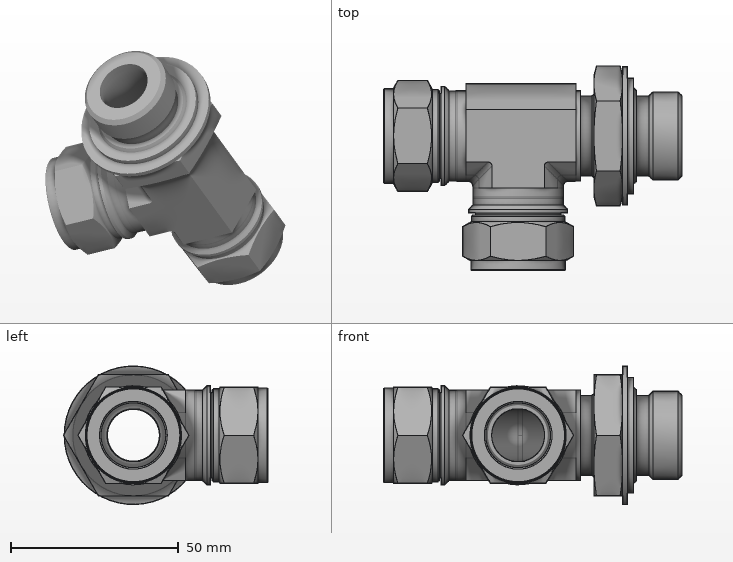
import cadquery as cq
import math

COS30 = math.cos(math.radians(30))
TAN15 = math.tan(math.radians(15))
TAN30 = math.tan(math.radians(30))

body_flats = 27.0
body_radius = body_flats / 2
hex_reach = 15.55
hex_reach_stud = 17.2
crotch_radius = 1.3

arm_length = 40.1
collar_length = 3.0
collar_dia = 28.2
rim_chamfer = 0.3
nut_flats = 28.6
nut_length = 11.55
skirt_dia = 27.8
skirt_length = 2.0
skirt_chamfer = 0.4
gap_dia = 25.4
gap_length = 0.5
ring_dia = 29.5
ring_length = 1.1
ring_taper = 1.3
land_dia = 26.9
land_length = 1.95
land_taper = 0.4

nut_end = arm_length - collar_length
nut_start = nut_end - nut_length
skirt_start = nut_start - skirt_length
ring_end = skirt_start - gap_length
ring_start = ring_end - ring_length
taper_start = ring_start - ring_taper
land_start = taper_start - land_length
body_end = land_start - land_taper

stud_end = 48.8
stud_body_end = 18.6
neck_dia = 23.8
shoulder_start = 21.95
shoulder_dia = 24.9
locknut_start = 22.6
locknut_flats = 36.1
washer_start = 31.1
washer_dia = 41.2
washer_end = 32.5
retainer_dia = 34.5
retainer_end = 34.4
seal_dia = 28.6
seal_tip_dia = 26.9
seal_end = 35.3
thread_dia = 26.2
thread_start = 40.1
thread_chamfer = (thread_dia - neck_dia) / 2

tube_bore = 15.7
stud_bore = 15.5
bore_step_end = 1.2
socket_dia = 19.3
socket_depth = 16.0
mouth_chamfer = 0.4


def turned(points):
    """Solid of revolution about X from (position, radius) points."""
    outline = [(points[0][0], 0)] + points + [(points[-1][0], 0)]
    return cq.Workplane("XY").polyline(outline).close().revolve(360, (0, 0, 0), (1, 0, 0))


def hex_nut(start, end, flats, start_dia, slope):
    """Hex along X with corners on Y, turned down to start_dia at one end and to its flats at the other."""
    corner = flats / 2 / COS30
    start_chamfer = (corner - start_dia / 2) * slope
    end_chamfer = (corner - flats / 2) * slope
    prism = cq.Workplane("YZ").workplane(offset=start).polygon(6, 2 * corner).extrude(end - start)
    envelope = turned([
        (start, start_dia / 2),
        (start + start_chamfer, corner),
        (end - end_chamfer, corner),
        (end, flats / 2),
    ])
    return prism.intersect(envelope)


def body_prism(start, end, rounded_back):
    """Hex along X whose -Y corner, and on request its +Y corner, is rounded to the inscribed circle."""
    half_flat = body_radius * TAN30
    tangent_y = body_radius * COS30
    tangent_z = body_radius / 2
    outline = (
        cq.Workplane("YZ").workplane(offset=start)
        .moveTo(half_flat, body_radius)
        .lineTo(-half_flat, body_radius)
        .lineTo(-tangent_y, tangent_z)
        .threePointArc((-body_radius, 0), (-tangent_y, -tangent_z))
        .lineTo(-half_flat, -body_radius)
        .lineTo(half_flat, -body_radius)
    )
    if rounded_back:
        outline = outline.lineTo(tangent_y, -tangent_z)
        outline = outline.threePointArc((body_radius, 0), (tangent_y, tangent_z))
    else:
        outline = outline.lineTo(body_radius / COS30, 0)
    return outline.close().extrude(end - start)


def on_run(solid):
    """Turn an arm built along +X to point along -X."""
    return solid.rotate((0, 0, 0), (0, 0, 1), 180)


def on_branch(solid):
    """Turn an arm built along +X to point along -Y."""
    return solid.rotate((0, 0, 0), (0, 0, 1), -90)


def tee_body():
    run = body_prism(-hex_reach, hex_reach_stud, False)
    branch = on_branch(body_prism(0, hex_reach, True))
    tee = run.union(branch)
    tolerance = 0.001
    creases = [
        edge for edge in tee.edges().vals()
        if abs(abs(edge.Center().x) + edge.Center().y) < tolerance
    ]
    return tee.newObject(creases).fillet(crotch_radius)


def tube_arm():
    """Compression end along +X: body land, stop ring, nut skirt, hex nut and end collar."""
    barrel = turned([
        (hex_reach, body_radius),
        (body_end, body_radius),
        (land_start, land_dia / 2),
        (taper_start, land_dia / 2),
        (ring_start, ring_dia / 2),
        (ring_end, ring_dia / 2),
        (ring_end, gap_dia / 2),
        (skirt_start, gap_dia / 2),
        (skirt_start, skirt_dia / 2 - skirt_chamfer),
        (skirt_start + skirt_chamfer, skirt_dia / 2),
        (nut_start, skirt_dia / 2),
        (nut_end, collar_dia / 2),
        (arm_length - rim_chamfer, collar_dia / 2),
        (arm_length, collar_dia / 2 - rim_chamfer),
    ])
    return barrel.union(hex_nut(nut_start, nut_end, nut_flats, skirt_dia, TAN30))


def stud_arm():
    """Adjustable stud along +X: neck, lock nut, washer, seal and thread."""
    stem = turned([
        (hex_reach_stud, body_radius),
        (stud_body_end, body_radius),
        (stud_body_end, neck_dia / 2),
        (shoulder_start, neck_dia / 2),
        (locknut_start, shoulder_dia / 2),
        (washer_start, shoulder_dia / 2),
        (washer_start, washer_dia / 2),
        (washer_end, washer_dia / 2),
        (washer_end, retainer_dia / 2),
        (retainer_end, retainer_dia / 2),
        (retainer_end, seal_dia / 2),
        (seal_end, seal_tip_dia / 2),
        (seal_end, neck_dia / 2),
        (thread_start - thread_chamfer, neck_dia / 2),
        (thread_start, thread_dia / 2),
        (stud_end - thread_chamfer, thread_dia / 2),
        (stud_end, neck_dia / 2),
    ])
    return stem.union(hex_nut(locknut_start, washer_start, locknut_flats, locknut_flats, TAN15))


def tube_bore_cut():
    """Bore of a tube arm along +X with its tube socket and chamfered mouth."""
    socket_start = arm_length - socket_depth
    return turned([
        (0, tube_bore / 2),
        (socket_start, tube_bore / 2),
        (socket_start, socket_dia / 2),
        (arm_length - mouth_chamfer, socket_dia / 2),
        (arm_length, socket_dia / 2 + mouth_chamfer),
    ])


def stud_bore_cut():
    return turned([
        (0, tube_bore / 2),
        (bore_step_end, stud_bore / 2),
        (stud_end, stud_bore / 2),
    ])


result = tee_body().union(stud_arm(), clean=False)
for place in (on_run, on_branch):
    result = result.union(place(tube_arm()), clean=False)
for place in (on_run, on_branch):
    result = result.cut(place(tube_bore_cut()), clean=False)
result = result.cut(stud_bore_cut(), clean=False)